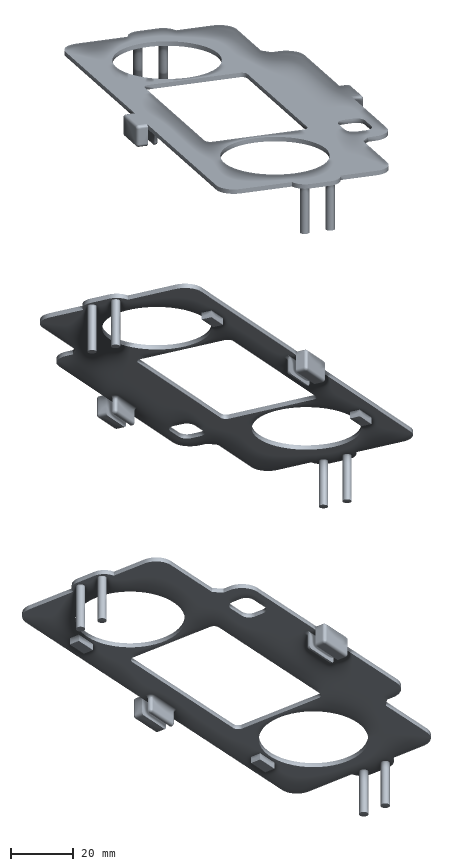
import cadquery as cq


total_length = 152.07
total_width = 77.74
total_height = 17.21

plate_thickness = 1.5
body_half_width = 72.3
body_corner_radius = 6.0
plate_front_y = -35.0
plate_back_y = -plate_front_y
shoulder_y = 23.55

hump_half_width = 42.4
hump_corner_radius = 6.3
hump_foot_chamfer = 2.6

ear_half_span = total_length / 2
ear_length = 16.8
ear_centre_y = -3.15
ear_corner_radius = 5.0

dial_diameter = 34.92
dial_x = 47.5
dial_y = -7.6
screen_width = 56.4
screen_height = 35.1
screen_y = -5.9
screen_corner_radius = 2.0
button_width = 11.5
button_height = 9.1
button_x = 30.25
button_y = 26.45
button_corner_radius = 3.0

pin_diameter = 3.0
pin_x = 73.4
pin_spacing = 8.7

pad_length = 7.34
pad_width = 3.67
pad_drop = 2.3
pad_y = -28.2
pad_xs = (-47.6, 46.4)

clip_width = 12.4
clip_outer_y = total_width / 2
clip_inner_y = 31.35
clip_height = 7.35
clip_edge_radius = 1.0
slot_width = 2.3
clip_root_radius = 1.0


def slab(width, length, top, height, centre):
    """Rectangular block hanging down from the given height, centred on a point in plan."""
    return (
        cq.Workplane("XY", origin=(centre[0], centre[1], top - height))
        .rect(width, length)
        .extrude(height)
    )


def rounded_slab(width, length, centre, radius):
    """Block as thick as the plate with rounded upright edges."""
    return slab(width, length, 0, plate_thickness, centre).edges("|Z").fillet(radius)


def make_hump():
    depth = plate_back_y - plate_front_y
    block = slab(2 * hump_half_width, depth, 0, plate_thickness, (0, 0))
    block = block.edges("|Z and >Y").fillet(hump_corner_radius)
    for side in (-1, 1):
        foot = (
            cq.Workplane("XY", origin=(0, 0, -plate_thickness))
            .moveTo(side * hump_half_width, shoulder_y)
            .lineTo(side * (hump_half_width + hump_foot_chamfer), shoulder_y)
            .lineTo(side * hump_half_width, shoulder_y + hump_foot_chamfer)
            .close()
            .extrude(plate_thickness)
        )
        block = block.union(foot)
    return block


def make_plate():
    body_centre = (0, (shoulder_y + plate_front_y) / 2)
    body = rounded_slab(2 * body_half_width, shoulder_y - plate_front_y, body_centre, body_corner_radius)
    ears = rounded_slab(2 * ear_half_span, ear_length, (0, ear_centre_y), ear_corner_radius)
    return body.union(ears).union(make_hump())


def cut_openings(plate):
    for side in (-1, 1):
        dial = (
            cq.Workplane("XY", origin=(side * dial_x, dial_y, -plate_thickness))
            .circle(dial_diameter / 2)
            .extrude(plate_thickness)
        )
        plate = plate.cut(dial)
    plate = plate.cut(rounded_slab(screen_width, screen_height, (0, screen_y), screen_corner_radius))
    return plate.cut(rounded_slab(button_width, button_height, (button_x, button_y), button_corner_radius))


def add_clips(plate):
    clip_depth = clip_outer_y - clip_inner_y
    clip_y = (clip_outer_y + clip_inner_y) / 2
    slot_y = plate_back_y - slot_width / 2
    for side in (-1, 1):
        clip = slab(clip_width, clip_depth, 0, clip_height, (0, side * clip_y))
        clip = clip.edges().fillet(clip_edge_radius)
        slot = slab(clip_width, slot_width, -plate_thickness, clip_height, (0, side * slot_y))
        plate = plate.union(clip.cut(slot))
    return plate


def blend_clip_roots(plate):
    """Fillet the inner tongues into the underside of the plate, except along the slots."""
    reach = clip_width / 2 + clip_root_radius
    slot_inner_y = plate_back_y - slot_width
    margin = 0.1
    for side in (-1, 1):
        near = side * (clip_inner_y - margin)
        far = side * (slot_inner_y - margin)
        root = cq.selectors.BoxSelector(
            (-reach, near, -plate_thickness - margin),
            (reach, far, -plate_thickness + margin),
        )
        plate = plate.edges(root).fillet(clip_root_radius)
    return plate


def add_pins(plate):
    for side in (-1, 1):
        for end in (-1, 1):
            pin_y = ear_centre_y + end * pin_spacing / 2
            pin = (
                cq.Workplane("XY", origin=(side * pin_x, pin_y, -total_height))
                .circle(pin_diameter / 2)
                .extrude(total_height - plate_thickness)
            )
            plate = plate.union(pin)
    return plate


def add_pads(plate):
    for x in pad_xs:
        plate = plate.union(slab(pad_length, pad_width, -plate_thickness, pad_drop, (x, pad_y)))
    return plate


result = add_pads(add_pins(blend_clip_roots(add_clips(cut_openings(make_plate())))))